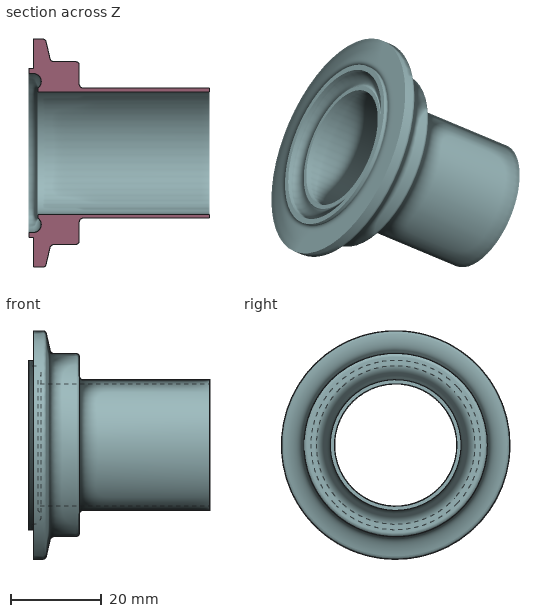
import cadquery as cq

total_length = 40.0
lip_length = 1.0
flange_rim_end = 3.75
taper_end = 4.9
collar_end = 11.2

flange_radius = 25.25
lip_radius = 18.75
groove_outer_radius = 17.5
collar_radius = 20.25
tube_radius = 14.45
bore_radius = 13.5

groove_wall_depth = 1.0
tube_end = 2.0
groove_width = groove_outer_radius - tube_radius
tube_setback = tube_end - groove_wall_depth
groove_round = (groove_width**2 + tube_setback**2) / (2 * groove_width)

rim_fillet = 0.8
collar_root_fillet = 0.8
collar_edge_fillet = 0.8
tube_root_fillet = 0.8


def revolve_about_x(profile):
    return profile.close().revolve(360, (0, 0, 0), (1, 0, 0))


def circular_edges(body, x, radius):
    """Circular edges at the given axial position and radius."""
    tolerance = 0.025
    return body.edges(
        cq.selectors.BoxSelector(
            (x - tolerance, -radius - tolerance, -radius - tolerance),
            (x + tolerance, radius + tolerance, radius + tolerance),
            boundingbox=True,
        )
    ).edges(cq.selectors.RadiusNthSelector(-1))


def make_outside():
    body = revolve_about_x(
        cq.Workplane("XY")
        .polyline([
            (0, 0),
            (0, lip_radius),
            (lip_length, lip_radius),
            (lip_length, flange_radius),
            (flange_rim_end, flange_radius),
            (taper_end, collar_radius),
            (collar_end, collar_radius),
            (collar_end, tube_radius),
            (total_length, tube_radius),
            (total_length, 0),
        ])
    )
    for x, radius, fillet in (
        (flange_rim_end, flange_radius, rim_fillet),
        (taper_end, collar_radius, collar_root_fillet),
        (collar_end, collar_radius, collar_edge_fillet),
        (collar_end, tube_radius, tube_root_fillet),
    ):
        body = circular_edges(body, x, radius).fillet(fillet)
    return body


def make_inside():
    return revolve_about_x(
        cq.Workplane("XY")
        .moveTo(0, 0)
        .lineTo(0, groove_outer_radius)
        .lineTo(groove_wall_depth, groove_outer_radius)
        .threePointArc(
            (groove_wall_depth + groove_round, groove_outer_radius - groove_round),
            (tube_end, tube_radius),
        )
        .lineTo(tube_end, bore_radius)
        .lineTo(total_length, bore_radius)
        .lineTo(total_length, 0)
    )


result = make_outside().cut(make_inside())